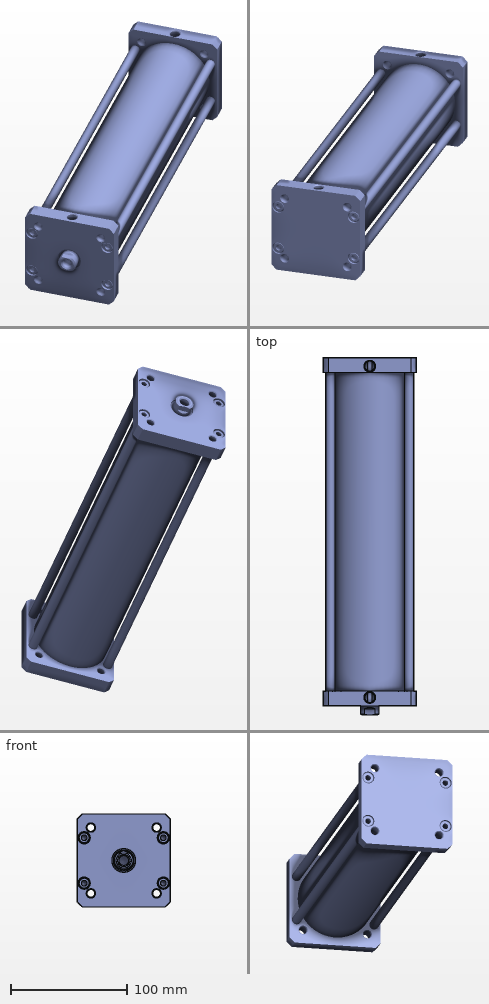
import cadquery as cq
import math

overall_length = 307.0
rod_protrusion = 8.0
cap_size = 80.0
cap_thickness = 12.7
corner_round_diameter = 107.0
rod_front_y = -overall_length / 2
cap_front_y = rod_front_y + rod_protrusion
cap_back_y = overall_length / 2
tube_front_y = cap_front_y + cap_thickness
tube_back_y = cap_back_y - cap_thickness

bore_diameter = 63.0
tube_diameter = 66.0

tie_x = 34.0
tie_z = 19.5
tie_diameter = 8.0
tie_seat_diameter = 10.5
tie_seat_depth = 6.0
tie_head_diameter = 10.0
tie_head_height = 5.0
tie_head_chamfer = 0.75
tie_hole_diameter = 4.92
tie_hole_depth = 12.0

mount_spacing = 56.5
mount_core_diameter = 6.65
mount_mouth_diameter = 8.0

port_mouth_diameter = 10.0
port_core_diameter = 8.57
port_depth = 10.0
port_inset = 5.5
bridge_diameter = 4.0
bridge_depth = 9.0
drill_point_angle = 118.0

rod_diameter = 16.0
rod_flats = 13.0
flat_length = 5.2
rod_chamfer_length = 1.0
rod_nose_diameter = 13.0
rod_hole_core_diameter = 8.38
rod_hole_mouth_diameter = 10.5
rod_hole_depth = 20.0
rod_hole_point_angle = 160.0

wiper_recess_diameter = 20.5
wiper_recess_depth = 1.0
rod_bore_mouth_diameter = 18.0


def cylinder(diameter, length, start, direction):
    """Solid cylinder starting at a point and running along a direction."""
    return cq.Workplane(
        cq.Solid.makeCylinder(diameter / 2, length, cq.Vector(*start), cq.Vector(*direction))
    )


def cone(start_diameter, end_diameter, length, start, direction):
    """Solid cone or frustum starting at a point and running along a direction."""
    return cq.Workplane(
        cq.Solid.makeCone(
            start_diameter / 2, end_diameter / 2, length, cq.Vector(*start), cq.Vector(*direction)
        )
    )


def countersink(mouth_diameter, core_diameter, start, direction):
    """45 degree countersink volume, widest at its start."""
    depth = (mouth_diameter - core_diameter) / 2
    return cone(mouth_diameter, core_diameter, depth, start, direction)


def drilled_hole(diameter, depth, start, direction, point_angle=drill_point_angle):
    """Blind hole volume with a conical point below its full-diameter depth."""
    point_length = diameter / 2 / math.tan(math.radians(point_angle / 2))
    bottom = cq.Vector(*start) + cq.Vector(*direction) * depth
    shank = cylinder(diameter, depth, start, direction)
    return shank.union(cone(diameter, 0, point_length, bottom.toTuple(), direction))


def four_corners(x, z):
    """Points mirrored about both the X and Z axes."""
    return [(side_x * x, side_z * z) for side_x in (-1, 1) for side_z in (-1, 1)]


def port(port_y):
    """Port volume open at +Z, with the bridge across its bottom left out."""
    mouth = (0, port_y, cap_size / 2)
    down = (0, 0, -1)
    hole = drilled_hole(port_core_diameter, port_depth, mouth, down)
    hole = hole.union(countersink(port_mouth_diameter, port_core_diameter, mouth, down))
    bridge_start = (0, port_y - port_mouth_diameter / 2, cap_size / 2 - bridge_depth)
    return hole.cut(cylinder(bridge_diameter, port_mouth_diameter, bridge_start, (0, 1, 0)))


def end_cap(outer_y, inward):
    """Square cap with turned corners; inward is the Y sign from its outer face to the tube."""
    inner_y = outer_y + inward * cap_thickness
    into = (0, inward, 0)
    back_out = (0, -inward, 0)
    cap = (
        cq.Workplane("XY")
        .box(cap_size, cap_thickness, cap_size)
        .translate((0, (outer_y + inner_y) / 2, 0))
    )
    cap = cap.intersect(
        cylinder(corner_round_diameter, cap_thickness, (0, outer_y, 0), into)
    )
    for x, z in four_corners(mount_spacing / 2, mount_spacing / 2):
        outer = (x, outer_y, z)
        inner = (x, inner_y, z)
        cap = cap.cut(cylinder(mount_core_diameter, cap_thickness, outer, into))
        cap = cap.cut(countersink(mount_mouth_diameter, mount_core_diameter, outer, into))
        cap = cap.cut(countersink(mount_mouth_diameter, mount_core_diameter, inner, back_out))
    for x, z in four_corners(tie_x, tie_z):
        outer = (x, outer_y, z)
        cap = cap.cut(cylinder(tie_diameter, cap_thickness, outer, into))
        cap = cap.cut(cylinder(tie_seat_diameter, tie_seat_depth, outer, into))
    return cap.cut(port(inner_y - inward * port_inset))


def rod_opening():
    """Bore, mouth countersink and wiper recess for the rod in the front cap."""
    face = (0, cap_front_y, 0)
    recess_floor = (0, cap_front_y + wiper_recess_depth, 0)
    along = (0, 1, 0)
    bore = cylinder(rod_diameter, cap_thickness, face, along)
    recess = cylinder(wiper_recess_diameter, wiper_recess_depth, face, along)
    mouth = countersink(rod_bore_mouth_diameter, rod_diameter, recess_floor, along)
    return bore.union(recess).union(mouth)


def make_tube():
    start = (0, tube_front_y, 0)
    length = tube_back_y - tube_front_y
    outside = cylinder(tube_diameter, length, start, (0, 1, 0))
    return outside.cut(cylinder(bore_diameter, length, start, (0, 1, 0)))


def tie_rod(x, z):
    """Tie rod spanning both caps, with a round head and a blind drilled hole at each end."""
    shank_front = (x, cap_front_y + tie_seat_depth, z)
    shank_length = cap_back_y - cap_front_y - 2 * tie_seat_depth
    rod = cylinder(tie_diameter, shank_length, shank_front, (0, 1, 0))
    for end_y, inward in ((cap_front_y, 1), (cap_back_y, -1)):
        seat_floor = (x, end_y + inward * tie_seat_depth, z)
        face = (x, end_y + inward * (tie_seat_depth - tie_head_height), z)
        into = (0, inward, 0)
        back_out = (0, -inward, 0)
        head = cylinder(tie_head_diameter, tie_head_height, seat_floor, back_out)
        rim = ">Y" if inward < 0 else "<Y"
        rod = rod.union(head.faces(rim).chamfer(tie_head_chamfer))
        rod = rod.cut(drilled_hole(tie_hole_diameter, tie_hole_depth, face, into))
    return rod


def flat_cutter(side):
    """Wedge that cuts one wrench flat with a 45 degree run-out; side is the sign of Z."""
    flat_z = rod_flats / 2
    clear_height = rod_diameter - rod_flats
    runout_y = rod_front_y + flat_length
    profile = [
        (rod_front_y, side * flat_z),
        (runout_y, side * flat_z),
        (runout_y + clear_height, side * (flat_z + clear_height)),
        (rod_front_y, side * (flat_z + clear_height)),
    ]
    return cq.Workplane("YZ").polyline(profile).close().extrude(rod_diameter, both=True)


def make_piston_rod():
    nose = (0, rod_front_y, 0)
    shoulder_y = rod_front_y + rod_chamfer_length
    along = (0, 1, 0)
    rod = cylinder(rod_diameter, tube_back_y - shoulder_y, (0, shoulder_y, 0), along)
    rod = rod.union(cone(rod_nose_diameter, rod_diameter, rod_chamfer_length, nose, along))
    for side in (-1, 1):
        rod = rod.cut(flat_cutter(side))
    rod = rod.cut(
        drilled_hole(rod_hole_core_diameter, rod_hole_depth, nose, along, rod_hole_point_angle)
    )
    return rod.cut(countersink(rod_hole_mouth_diameter, rod_hole_core_diameter, nose, along))


front_cap = end_cap(cap_front_y, 1).cut(rod_opening())
back_cap = end_cap(cap_back_y, -1)
tube = make_tube()
piston_rod = make_piston_rod()
tie_rods = [tie_rod(x, z) for x, z in four_corners(tie_x, tie_z)]

result = cq.Compound.makeCompound(
    [
        front_cap.val(),
        back_cap.val(),
        tube.val(),
        piston_rod.val(),
        *[rod.val() for rod in tie_rods],
    ]
)